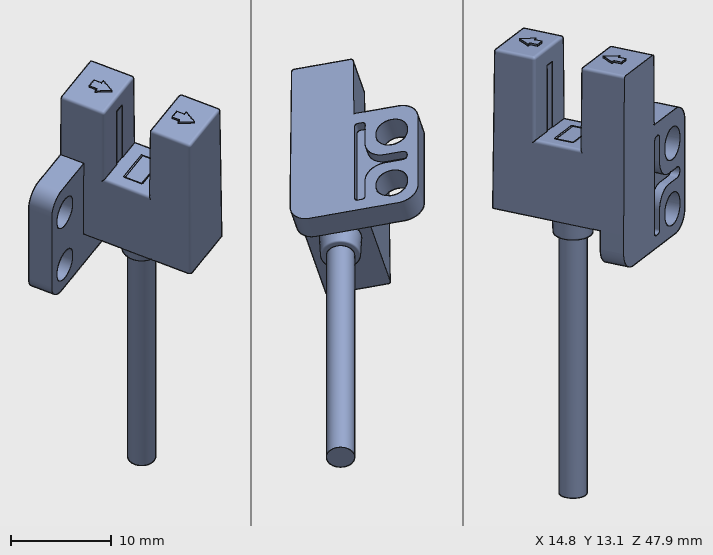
import cadquery as cq

body_length = 14.8
body_width = 6.6
body_height = 17.15
draft_angle = 0.5
edge_radius = 0.31

slot_left = 4.95
slot_width = 5.02
slot_floor = 8.25
slot_draft_angle = 0.3
slot_center = slot_left + slot_width / 2

window_depth = 0.07
floor_window_length = 2.15
floor_window_inset = 0.15
floor_window_width = 3.65
wall_window_width = 1.1
wall_window_top = 15.3

arrow_height = 0.2
arrow_length = 2.3
arrow_tail_length = 0.85
arrow_tail_half_width = 0.5
arrow_head_half_width = 0.85
arrow_starts = (1.7, 11.1)

plate_thickness = 2.65
plate_back = body_width / 2
plate_front = -9.75
plate_top = 9.47
plate_bottom = -4.0
plate_corner_radius = 2.0

hole_width = 3.2
hole_height = 3.5
hole_y = -7.1
hole_pitch = 7.1
hole_middle = 2.45

groove_depth = 1.0
groove_back = -3.3
groove_front = -8.65
groove_height = 10.65
groove_bar_width = 1.05
groove_stem_width = 1.15
groove_bar_tip_radius = 0.35
groove_stem_tip_radius = 0.55
groove_inner_radius = 2.0
groove_middle = 2.7

overall_height = 47.85
cable_diameter = 2.8
cable_x = body_length / 2
cable_bottom = body_height + arrow_height - overall_height
collar_top_diameter = 4.2
collar_bottom_diameter = 3.95
collar_length = 2.45
collar_edge_radius = 0.2

pick_margin = 0.05


def box_between(x_range, y_range, z_range):
    """Box given by its lower and upper limit along each axis."""
    (x0, x1), (y0, y1), (z0, z1) = x_range, y_range, z_range
    return (
        cq.Workplane("XY", origin=(x0, y0, z0))
        .box(x1 - x0, y1 - y0, z1 - z0, centered=False)
    )


def make_body():
    """Drafted block with a flat side at X = 0 and a slot that leaves two arms."""
    block = (
        cq.Workplane("XY")
        .rect(2 * body_length, body_width)
        .extrude(body_height, taper=draft_angle)
    )
    half_width = body_width / 2
    flat_half = box_between((0, body_length), (-half_width, half_width), (0, body_height))
    slot = (
        cq.Workplane("XY", origin=(slot_center, 0, slot_floor))
        .rect(slot_width, 2 * body_width)
        .extrude(body_height - slot_floor, taper=-slot_draft_angle)
    )
    forked = block.intersect(flat_half).cut(slot)

    slot_corners = cq.selectors.BoxSelector(
        (slot_left - pick_margin, -pick_margin, slot_floor - pick_margin),
        (slot_left + slot_width + pick_margin, pick_margin, slot_floor + pick_margin),
    )
    sharp_edges = (
        forked.faces("<X or <Z").edges().vals()
        + forked.edges("|Y").edges(slot_corners).vals()
    )
    rounded_edges = [
        edge for edge in forked.edges().vals()
        if not any(edge.isSame(sharp) for sharp in sharp_edges)
    ]
    return forked.newObject(rounded_edges).fillet(edge_radius)


def make_floor_window():
    """Shallow recess whose two ends slope inward to its bottom."""
    half_top = floor_window_length / 2
    half_bottom = half_top - floor_window_inset
    return (
        cq.Workplane("XZ", origin=(slot_center, 0, slot_floor))
        .polyline([
            (-half_top, 0),
            (half_top, 0),
            (half_bottom, -window_depth),
            (-half_bottom, -window_depth),
        ])
        .close()
        .extrude(floor_window_width / 2, both=True)
    )


def make_wall_windows():
    """Recessed strips rising from the slot floor in both slot walls."""
    half_width = wall_window_width / 2
    return box_between(
        (slot_left - window_depth, slot_left + slot_width + window_depth),
        (-half_width, half_width),
        (slot_floor, wall_window_top),
    )


def make_arrow(start):
    """Raised arrow that points along +X, with its tail at X = start."""
    head_start = start + arrow_tail_length
    return (
        cq.Workplane("XY", origin=(0, 0, body_height))
        .moveTo(start, -arrow_tail_half_width)
        .lineTo(head_start, -arrow_tail_half_width)
        .lineTo(head_start, -arrow_head_half_width)
        .lineTo(start + arrow_length, 0)
        .lineTo(head_start, arrow_head_half_width)
        .lineTo(head_start, arrow_tail_half_width)
        .lineTo(start, arrow_tail_half_width)
        .close()
        .extrude(arrow_height)
    )


def make_groove():
    """T-shaped groove: an upright bar along the body and a stem toward -Y."""
    bar_front = groove_back - groove_bar_width
    bar = box_between(
        (0, groove_depth),
        (bar_front, groove_back),
        (groove_middle - groove_height / 2, groove_middle + groove_height / 2),
    ).edges("|X").fillet(groove_bar_tip_radius)
    stem = box_between(
        (0, groove_depth),
        (groove_front, groove_back - groove_bar_width / 2),
        (hole_middle - groove_stem_width / 2, hole_middle + groove_stem_width / 2),
    ).edges("|X and <Y").fillet(groove_stem_tip_radius)
    inner_corners = cq.selectors.BoxSelector(
        (0, bar_front - pick_margin, hole_middle - groove_stem_width),
        (groove_depth, bar_front + pick_margin, hole_middle + groove_stem_width),
    )
    return bar.union(stem).edges("|X").edges(inner_corners).fillet(groove_inner_radius)


def make_plate():
    """Foot under the body joined to a flange in front of it, with two holes."""
    foot = box_between((0, plate_thickness), (plate_front, plate_back), (plate_bottom, 0))
    flange = box_between((0, plate_thickness), (plate_front, 0), (plate_bottom, plate_top))
    plate = foot.union(flange).edges("|X and (<Y or <Z)").fillet(plate_corner_radius)
    holes = (
        cq.Workplane("YZ")
        .pushPoints([(hole_y, hole_middle + side * hole_pitch / 2) for side in (-1, 1)])
        .slot2D(hole_height, hole_width, 90)
        .extrude(plate_thickness)
    )
    return plate.cut(holes)


def make_collar():
    """Collar that narrows downward from the underside of the body."""
    return (
        cq.Workplane("XY", origin=(cable_x, 0, 0))
        .circle(collar_top_diameter / 2)
        .workplane(offset=-collar_length)
        .circle(collar_bottom_diameter / 2)
        .loft()
        .faces("<Z").edges().fillet(collar_edge_radius)
    )


def make_cable():
    """Round cable that hangs down through the collar."""
    return (
        cq.Workplane("XY", origin=(cable_x, 0, 0))
        .circle(cable_diameter / 2)
        .extrude(cable_bottom)
    )


body = make_body().cut(make_floor_window()).cut(make_wall_windows())
for arrow_start in arrow_starts:
    body = body.union(make_arrow(arrow_start))

result = body.union(make_plate()).cut(make_groove()).union(make_collar()).union(make_cable())